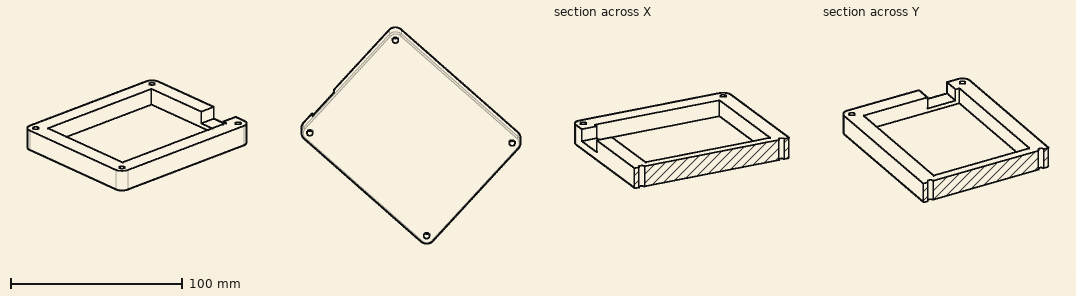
import cadquery as cq

width = 84.5
length = 101.7
height = 13.0
corner_radius = 5.0
bottom_fillet = 1.0

wall_thickness = 10.0
pocket_width = width - 2 * wall_thickness
pocket_length = length - 2 * wall_thickness
floor_thickness = 3.0

notch_width = 18.8
notch_center_x = 20.2
notch_depth = 7.5

hole_diameter = 3.4
hole_inset = corner_radius


def make_block():
    """Block with rounded vertical corners and a rounded bottom edge."""
    block = cq.Workplane("XY").box(width, length, height, centered=(True, True, False))
    return block.edges("|Z").fillet(corner_radius).faces("<Z").edges().fillet(bottom_fillet)


def make_pocket():
    """Volume removed from the inside of the block."""
    pocket = cq.Workplane("XY").workplane(offset=floor_thickness)
    return pocket.rect(pocket_width, pocket_length).extrude(height - floor_thickness)


def make_notch():
    """Volume removed from the +Y wall, from the pocket to the outside."""
    wall_center_y = (length - wall_thickness) / 2
    notch = cq.Workplane("XY", origin=(notch_center_x, wall_center_y, height - notch_depth))
    return notch.rect(notch_width, wall_thickness).extrude(notch_depth)


def make_holes():
    """Four screw holes through the full height."""
    spacing_x = width - 2 * hole_inset
    spacing_y = length - 2 * hole_inset
    holes = cq.Workplane("XY").rect(spacing_x, spacing_y, forConstruction=True).vertices()
    return holes.circle(hole_diameter / 2).extrude(height)


result = make_block().cut(make_pocket()).cut(make_notch()).cut(make_holes())